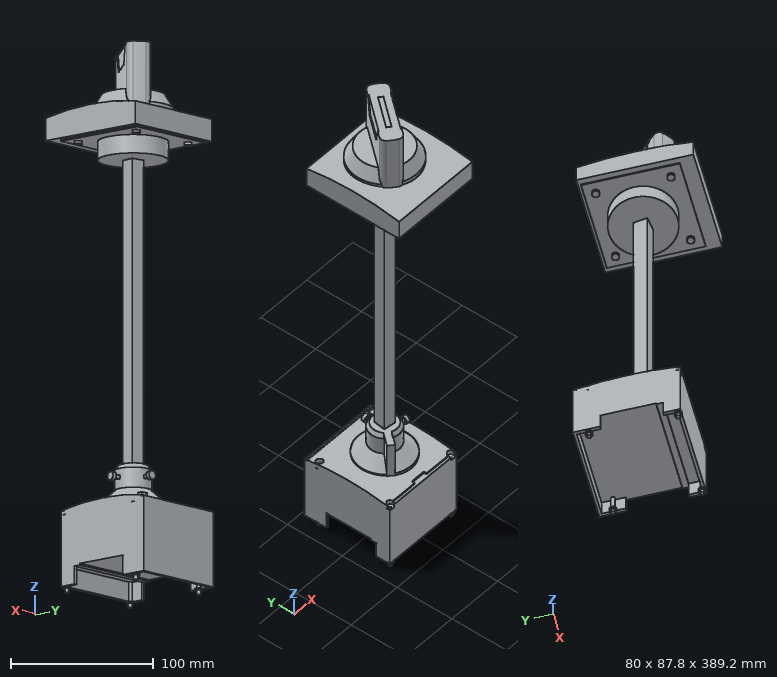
import cadquery as cq


TOTAL_HEIGHT = 389.2
BASE_BOTTOM = 4.3
BASE_EDGE_TOP = 58.5
BASE_CROWN_TOP = 62.3
HUB_TOP = 90.5
COLLAR_BOTTOM = 309.8
PLATE_BOTTOM = 324.2
PLATE_EDGE_TOP = 340.5
PLATE_CROWN_TOP = 344.5

LEVER_ANGLE = 50.5
SHAFT_ANGLE = -8.0

BASE_WIDTH = 73.0
BASE_DEPTH = 78.0
BASE_CENTER_X = -2.5
BASE_CENTER_Y = 2.0
BASE_FRONT_Y = BASE_CENTER_Y - BASE_DEPTH / 2
LEDGE_WIDTH = 2.5
LEDGE_STEP = 0.5

WALL_THICKNESS = 2.5
SLOT_FRONT_Y = -24.5
SLOT_BACK_Y = 21.0
SLOT_TOP = 18.3
CLIP_WIDTH = 5.0
CLIP_HEIGHT = 1.0

NOTCH_WIDTH = 13.0
NOTCH_DEPTH = 4.5

NUB_WIDTH = 6.0
NUB_DEPTH = 4.0
NUB_TOP = 62.5
NUB_X = 26.0
NUB_Y = 32.3

SCREW_X_OFFSET = 33.0
SCREW_FRONT_Y = -34.5
SCREW_BACK_Y = 30.0
SCREW_BORE_RADIUS = 2.9
SCREW_BORE_FLOOR = 55.5
FOOT_COLLAR_RADIUS = 2.7
FOOT_COLLAR_HEIGHT = 1.0
FOOT_PIN_RADIUS = 1.5

HUB_FLANGE_RADIUS = 24.0
HUB_FLANGE_TOP = 63.0
HUB_CONE_TOP = 72.8
HUB_RADIUS = 13.2
HUB_RIM_RADIUS = 11.0
HUB_RIM_BOTTOM = 87.0
WING_REACH = 24.0
WING_WIDTH = 6.0

CLAMP_LEVEL = 81.0
CLAMP_REACH = 21.0
CLAMP_HEAD_LENGTH = 3.0
CLAMP_HEAD_RADIUS = 3.0
CLAMP_SHANK_RADIUS = 1.5

SHAFT_SIDE = 10.5
PLATE_WIDTH = 80.0
PLATE_DEPTH = 85.0
PLATE_CENTER_Y = -4.3
GASKET_SIDE = 71.5
GASKET_THICKNESS = 1.0
PLATE_SCREW_OFFSET = 27.2
PLATE_SCREW_RADIUS = 2.7
PLATE_SCREW_HEIGHT = 2.0
COLLAR_RADIUS = 25.0

DISC_RADIUS = 28.8
DISC_TOP = 346.5
DISC_CONE_TOP = 356.5
DISC_TOP_RADIUS = 22.5
GRIP_RADIUS = 29.5
GRIP_WIDTH = 17.0
GRIP_CORNER_RADIUS = 4.5
DISH_TOP_LENGTH = 37.8
DISH_FLOOR_LENGTH = 25.5
DISH_HEIGHT = 13.5
DISH_DEPTH = 0.8
POINTER_LENGTH = 31.0
POINTER_WIDTH = 4.0
POINTER_DEPTH = 0.5


def cylinder(radius, bottom, top, x=0, y=0):
    """Upright cylinder between two levels."""
    return cq.Workplane("XY", origin=(x, y, bottom)).circle(radius).extrude(top - bottom)


def box(width, depth, bottom, top, x=0, y=0):
    """Upright block between two levels, centred on (x, y)."""
    return cq.Workplane("XY", origin=(x, y, bottom)).rect(width, depth).extrude(top - bottom)


def turned(outline):
    """Solid of revolution about Z from (radius, level) points."""
    return cq.Workplane("XZ").polyline(outline).close().revolve(360, (0, 0), (0, 1))


def about_axis(body, angle):
    """Body turned about the shaft axis."""
    return body.rotate((0, 0, 0), (0, 0, 1), angle)


def crowned_block(width, depth, bottom, edge_top, crown_top, center_x, center_y):
    """Block whose top is arched from front to back."""
    front = center_y - depth / 2
    back = center_y + depth / 2
    return (
        cq.Workplane("YZ", origin=(center_x, 0, 0))
        .moveTo(front, bottom)
        .lineTo(front, edge_top)
        .threePointArc((center_y, crown_top), (back, edge_top))
        .lineTo(back, bottom)
        .close()
        .extrude(width / 2, both=True)
    )


def base_housing():
    """Crowned housing with a flat ledge along its front and back edges and a notch at mid front."""
    housing = crowned_block(
        BASE_WIDTH, BASE_DEPTH, BASE_BOTTOM,
        BASE_EDGE_TOP + LEDGE_STEP, BASE_CROWN_TOP, BASE_CENTER_X, BASE_CENTER_Y,
    )
    for side in (-1, 1):
        ledge_y = BASE_CENTER_Y + side * (BASE_DEPTH - LEDGE_WIDTH) / 2
        housing = housing.cut(
            box(BASE_WIDTH, LEDGE_WIDTH, BASE_EDGE_TOP, BASE_CROWN_TOP, BASE_CENTER_X, ledge_y)
        )
    notch_y = BASE_FRONT_Y + NOTCH_DEPTH / 2
    return housing.cut(
        box(NOTCH_WIDTH, NOTCH_DEPTH, BASE_EDGE_TOP, BASE_CROWN_TOP, BASE_CENTER_X, notch_y)
    )


def underside_pocket():
    """Pocket inside the thin skirt of the housing, open at the bottom."""
    width = BASE_WIDTH - 2 * WALL_THICKNESS
    depth = BASE_DEPTH - 2 * WALL_THICKNESS
    return box(width, depth, BASE_BOTTOM, SLOT_TOP, BASE_CENTER_X, BASE_CENTER_Y)


def rail_slot():
    """Slot through the two side walls of the skirt."""
    slot_depth = SLOT_BACK_Y - SLOT_FRONT_Y
    slot_y = (SLOT_BACK_Y + SLOT_FRONT_Y) / 2
    return box(BASE_WIDTH, slot_depth, BASE_BOTTOM, SLOT_TOP, BASE_CENTER_X, slot_y)


def rail_clip():
    """Ridge hanging from the pocket ceiling along the front edge of the slot."""
    clip_y = SLOT_FRONT_Y + CLIP_WIDTH / 2
    return box(BASE_WIDTH, CLIP_WIDTH, SLOT_TOP - CLIP_HEIGHT, SLOT_TOP, BASE_CENTER_X, clip_y)


def screw_places():
    """Centres of the four mounting screws."""
    return [
        (BASE_CENTER_X + side * SCREW_X_OFFSET, y)
        for side in (-1, 1)
        for y in (SCREW_FRONT_Y, SCREW_BACK_Y)
    ]


def hub():
    """Flanged cone and cylinder that take the shaft, with a pointer wing on one side."""
    body = turned([
        (0, BASE_EDGE_TOP),
        (HUB_FLANGE_RADIUS, BASE_EDGE_TOP),
        (HUB_FLANGE_RADIUS, HUB_FLANGE_TOP),
        (HUB_RADIUS, HUB_CONE_TOP),
        (HUB_RADIUS, HUB_RIM_BOTTOM),
        (HUB_RIM_RADIUS, HUB_TOP),
        (0, HUB_TOP),
    ])
    wing = box(WING_REACH, WING_WIDTH, BASE_EDGE_TOP, HUB_TOP, x=-WING_REACH / 2)
    return body.union(about_axis(wing, LEVER_ANGLE))


def clamp_screw(angle):
    """Headed screw standing radially out of the hub."""
    plane = cq.Workplane("YZ", origin=(0, 0, CLAMP_LEVEL))
    shank = plane.circle(CLAMP_SHANK_RADIUS).extrude(CLAMP_REACH)
    head_start = CLAMP_REACH - CLAMP_HEAD_LENGTH
    head = plane.workplane(offset=head_start).circle(CLAMP_HEAD_RADIUS).extrude(CLAMP_HEAD_LENGTH)
    return about_axis(shank.union(head), angle)


def switch_base():
    body = base_housing().cut(underside_pocket()).cut(rail_slot()).union(rail_clip())
    for x, y in screw_places():
        foot_collar_bottom = BASE_BOTTOM - FOOT_COLLAR_HEIGHT
        body = body.cut(cylinder(SCREW_BORE_RADIUS, SCREW_BORE_FLOOR, BASE_CROWN_TOP, x, y))
        body = body.union(cylinder(FOOT_COLLAR_RADIUS, foot_collar_bottom, BASE_BOTTOM, x, y))
        body = body.union(cylinder(FOOT_PIN_RADIUS, 0, SLOT_TOP, x, y))
    body = body.union(box(NUB_WIDTH, NUB_DEPTH, BASE_EDGE_TOP, NUB_TOP, NUB_X, NUB_Y))
    body = body.union(hub())
    for angle in (SHAFT_ANGLE, SHAFT_ANGLE + 90):
        body = body.union(clamp_screw(angle))
    return body


def front_plate():
    """Crowned plate with a square gasket, four screw heads and the shaft collar below it."""
    plate = crowned_block(
        PLATE_WIDTH, PLATE_DEPTH, PLATE_BOTTOM,
        PLATE_EDGE_TOP, PLATE_CROWN_TOP, 0, PLATE_CENTER_Y,
    )
    gasket_bottom = PLATE_BOTTOM - GASKET_THICKNESS
    plate = plate.union(box(GASKET_SIDE, GASKET_SIDE, gasket_bottom, PLATE_BOTTOM))
    for x in (-PLATE_SCREW_OFFSET, PLATE_SCREW_OFFSET):
        for y in (-PLATE_SCREW_OFFSET, PLATE_SCREW_OFFSET):
            head_bottom = gasket_bottom - PLATE_SCREW_HEIGHT
            plate = plate.union(cylinder(PLATE_SCREW_RADIUS, head_bottom, gasket_bottom, x, y))
    return plate.union(cylinder(COLLAR_RADIUS, COLLAR_BOTTOM, PLATE_EDGE_TOP))


def knob_disc():
    return turned([
        (0, PLATE_EDGE_TOP),
        (DISC_RADIUS, PLATE_EDGE_TOP),
        (DISC_RADIUS, DISC_TOP),
        (DISC_TOP_RADIUS, DISC_CONE_TOP),
        (0, DISC_CONE_TOP),
    ])


def side_dish(side):
    """Shallow trapezoid recess at the top of one flank of the grip."""
    floor_level = TOTAL_HEIGHT - DISH_HEIGHT
    flank = side * GRIP_WIDTH / 2
    return (
        cq.Workplane("XZ", origin=(0, flank, 0))
        .polyline([
            (-DISH_TOP_LENGTH / 2, TOTAL_HEIGHT),
            (DISH_TOP_LENGTH / 2, TOTAL_HEIGHT),
            (DISH_FLOOR_LENGTH / 2, floor_level),
            (-DISH_FLOOR_LENGTH / 2, floor_level),
        ])
        .close()
        .extrude(DISH_DEPTH, both=True)
    )


def knob_grip():
    """Bar across the knob with round ends, dished flanks and a pointer groove on top."""
    grip = box(2 * GRIP_RADIUS, GRIP_WIDTH, PLATE_EDGE_TOP, TOTAL_HEIGHT)
    grip = grip.intersect(cylinder(GRIP_RADIUS, PLATE_EDGE_TOP, TOTAL_HEIGHT))
    grip = grip.edges("|Z").fillet(GRIP_CORNER_RADIUS)
    for side in (-1, 1):
        grip = grip.cut(side_dish(side))
    grip = grip.cut(box(POINTER_LENGTH, POINTER_WIDTH, TOTAL_HEIGHT - POINTER_DEPTH, TOTAL_HEIGHT))
    return about_axis(grip, LEVER_ANGLE)


def handle():
    shaft = about_axis(box(SHAFT_SIDE, SHAFT_SIDE, HUB_TOP, PLATE_EDGE_TOP), SHAFT_ANGLE)
    return front_plate().union(shaft).union(knob_disc()).union(knob_grip())


result = cq.Compound.makeCompound([switch_base().solids().val(), handle().solids().val()])